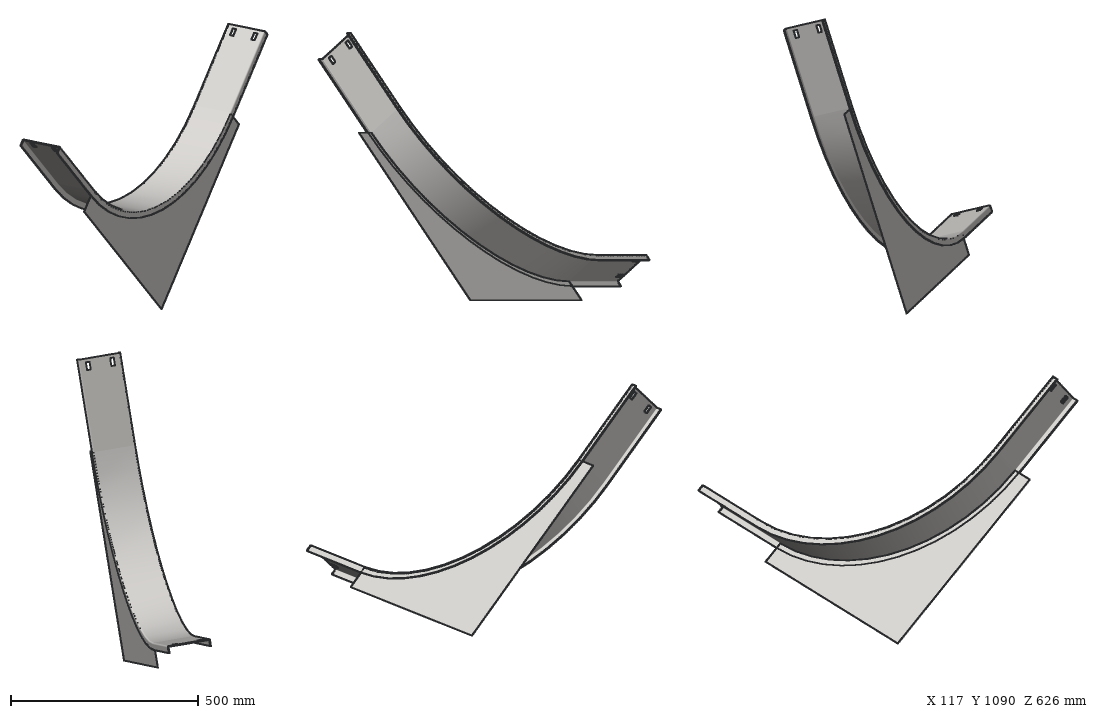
import cadquery as cq
import math

width = 117.0
half_span = 545.0
bend_radius = 500.0
flange_depth = 20.0
sheet = 3.0
edge_inner_radius = 1.0
edge_outer_radius = edge_inner_radius + sheet
outer_radius = bend_radius + flange_depth
arm_length = half_span * math.sqrt(2) - outer_radius

slot_width = 10.0
slot_length = 21.0
slot_spacing = 66.0
slot_end_distance = 21.0

plate_thickness = 1.0
height = 626.0
top_z = (arm_length - bend_radius) / math.sqrt(2)
plate_bottom_z = top_z - height
plate_top_radius = bend_radius + edge_outer_radius

ARM_TURN = 45


def section():
    """Closed channel profile on the XZ plane at the lowest point of the bend."""
    outer_x = width / 2
    inner_x = outer_x - sheet
    flat_x = outer_x - edge_outer_radius
    bottom = -outer_radius
    top = -bend_radius
    under = top - sheet
    side_z = top - edge_outer_radius
    return (
        cq.Workplane("XZ")
        .moveTo(-outer_x, bottom)
        .lineTo(-outer_x, side_z)
        .radiusArc((-flat_x, top), edge_outer_radius)
        .lineTo(flat_x, top)
        .radiusArc((outer_x, side_z), edge_outer_radius)
        .lineTo(outer_x, bottom)
        .lineTo(inner_x, bottom)
        .lineTo(inner_x, side_z)
        .radiusArc((flat_x, under), -edge_inner_radius)
        .lineTo(-flat_x, under)
        .radiusArc((-inner_x, side_z), -edge_inner_radius)
        .lineTo(-inner_x, bottom)
        .close()
    )


def channel_arm():
    """Straight stretch of the channel, leaving the bend along +Y, with its two slots."""
    arm = section().extrude(-arm_length)
    slots = (
        cq.Workplane("XY", origin=(0, arm_length - slot_end_distance, -bend_radius - sheet))
        .rarray(slot_spacing, 11, 2, 1)
        .rect(slot_width, slot_length)
        .extrude(sheet)
    )
    return arm.cut(slots).rotate((0, 0, 0), (1, 0, 0), ARM_TURN)


def make_channel():
    """Quarter-turn bend with a straight arm at each end."""
    half_bend = section().revolve(ARM_TURN, (0, 0), (1, 0))
    half_channel = half_bend.union(channel_arm())
    return half_channel.union(half_channel.mirror("XZ"))


def make_plate():
    """Square-cornered gusset whose upper edge is an arc following the bend."""
    left = width / 2 - sheet - plate_thickness
    arc_end = plate_top_radius / math.sqrt(2)
    corner = -plate_bottom_z / 2
    return (
        cq.Workplane("YZ", origin=(left, 0, 0))
        .moveTo(-arc_end, -arc_end)
        .threePointArc((0, -plate_top_radius), (arc_end, -arc_end))
        .lineTo(corner, -corner)
        .lineTo(0, plate_bottom_z)
        .lineTo(-corner, -corner)
        .close()
        .extrude(plate_thickness)
    )


channel = make_channel()
plate = make_plate()
result = cq.Compound.makeCompound([channel.val(), plate.val()])